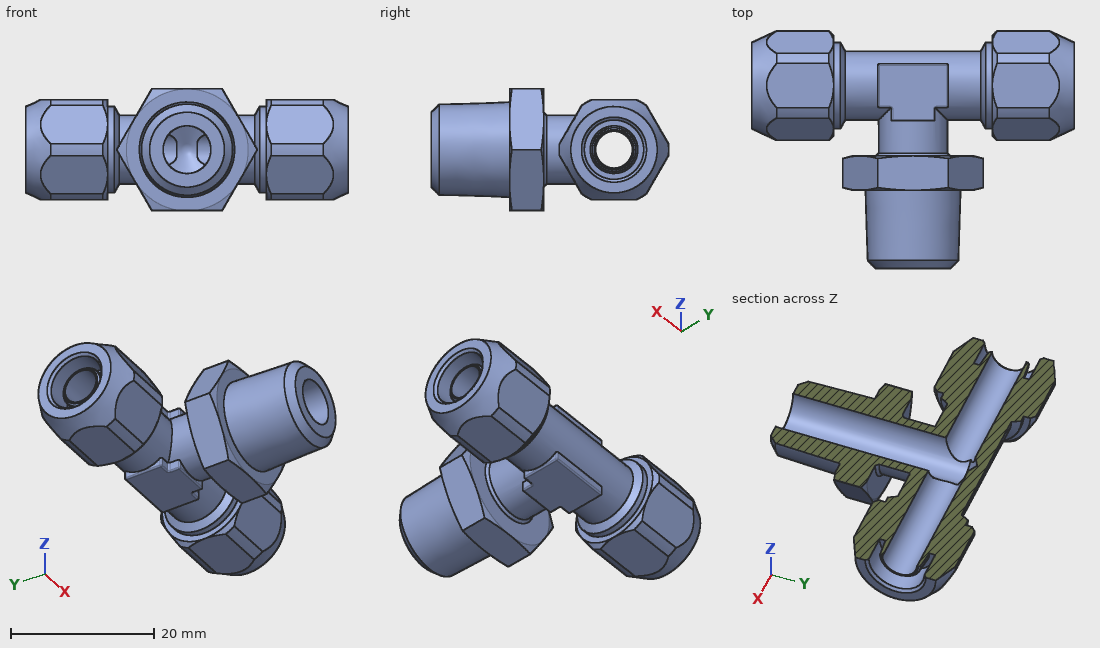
import cadquery as cq
import math

run_end = 22.5
branch_end = 25.5

tube_radius = 4.8
run_bore_radius = 2.55
branch_bore_radius = 3.35
drill_tip_y = 3.38
drill_half_angle = 60.0

pad_half_height = 5.18
pad_reach = 4.9
pad_half_width = 3.05
pad_fillet = 0.22

nut_across_flats = 14.0
nut_corner_radius = 7.65
nut_length = 11.45
nut_nose_radius = 6.05
nut_nose_length = 3.45
mouth_radius = 4.15
mouth_chamfer = 0.4
mouth_depth = 4.5

insert_root_radius = 3.35
insert_shoulder_radius = 3.05
insert_tip_radius = 2.8
insert_tip_depth = 1.58

collar_radius = 6.05
collar_end = 9.45
collar_chamfer_length = 0.68

hex_across_flats = 17.0
hex_start = 9.8
hex_end = 14.6
hex_chamfer_angle = 15.0
shoulder_radius = 5.2
shoulder_length = shoulder_radius - tube_radius

thread_root_radius = 6.65
thread_taper = 1 / 16
thread_chamfer = 1.12


def revolve_about_x(outline):
    """Turn an (x, radius) outline about the X axis."""
    return cq.Workplane("XY").polyline(outline).close().revolve(360, (0, 0), (1, 0))


def revolve_about_branch(outline):
    """Turn a (radius, distance towards -Y) outline about the Y axis."""
    points = [(radius, -distance) for radius, distance in outline]
    return cq.Workplane("XY").polyline(points).close().revolve(360, (0, 0), (0, 1))


def hexagon_corner_diameter(across_flats):
    return across_flats / math.cos(math.radians(30))


def make_pads():
    """T-shaped block whose top and bottom stand out from the tubes as flat pads."""
    outline = [
        (-pad_reach, pad_half_width),
        (pad_reach, pad_half_width),
        (pad_reach, -pad_half_width),
        (pad_half_width, -pad_half_width),
        (pad_half_width, -pad_reach),
        (-pad_half_width, -pad_reach),
        (-pad_half_width, -pad_half_width),
        (-pad_reach, -pad_half_width),
    ]
    block = cq.Workplane("XY").polyline(outline).close().extrude(pad_half_height, both=True)
    return block.edges("|Z").fillet(pad_fillet).faces("|Z").edges().fillet(pad_fillet)


def make_nut():
    """Hexagonal nut and collar on the +X end, with turned corners and a conical nose."""
    nut_inner = run_end - nut_length
    flat_radius = nut_across_flats / 2
    hexagon = (
        cq.Workplane("YZ", origin=(nut_inner, 0, 0))
        .polygon(6, hexagon_corner_diameter(nut_across_flats))
        .extrude(nut_length)
    )
    turned = revolve_about_x([
        (nut_inner, 0),
        (nut_inner, flat_radius),
        (nut_inner + nut_corner_radius - flat_radius, nut_corner_radius),
        (run_end - nut_nose_length, nut_corner_radius),
        (run_end, nut_nose_radius),
        (run_end, 0),
    ])
    collar = revolve_about_x([
        (collar_end, 0),
        (collar_end, tube_radius),
        (collar_end + collar_chamfer_length, collar_radius),
        (nut_inner, collar_radius),
        (nut_inner, 0),
    ])
    return hexagon.intersect(turned).union(collar)


def make_mouth():
    """Void of the nut mouth on the +X end, leaving the tube insert standing at its floor."""
    floor = run_end - mouth_depth
    insert_tip = run_end - insert_tip_depth
    insert_chamfer = insert_shoulder_radius - insert_tip_radius
    return revolve_about_x([
        (run_end, 0),
        (run_end, mouth_radius + mouth_chamfer),
        (run_end - mouth_chamfer, mouth_radius),
        (floor, mouth_radius),
        (floor, insert_root_radius),
        (insert_tip - insert_chamfer, insert_shoulder_radius),
        (insert_tip, insert_tip_radius),
        (insert_tip, 0),
    ])


def make_branch():
    """Branch tube, shoulder, chamfered hexagon and tapered thread."""
    thread_end = branch_end - thread_chamfer
    thread_end_radius = thread_root_radius - (thread_end - hex_end) * thread_taper / 2
    stem = revolve_about_branch([
        (0, 0),
        (tube_radius, 0),
        (tube_radius, hex_start - shoulder_length),
        (shoulder_radius, hex_start),
        (shoulder_radius, hex_end),
        (thread_root_radius, hex_end),
        (thread_end_radius, thread_end),
        (thread_end_radius - thread_chamfer, branch_end),
        (0, branch_end),
    ])

    corner_diameter = hexagon_corner_diameter(hex_across_flats)
    hexagon = (
        cq.Workplane("XZ", origin=(0, -hex_start, 0))
        .polygon(6, corner_diameter)
        .extrude(hex_end - hex_start)
    )
    corner_radius = corner_diameter / 2
    flat_radius = hex_across_flats / 2
    chamfer_length = (corner_radius - flat_radius) * math.tan(math.radians(hex_chamfer_angle))
    turned = revolve_about_branch([
        (0, hex_start),
        (flat_radius, hex_start),
        (corner_radius, hex_start + chamfer_length),
        (corner_radius, hex_end - chamfer_length),
        (flat_radius, hex_end),
        (0, hex_end),
    ])
    return stem.union(hexagon.intersect(turned))


def make_branch_bore():
    """Blind drilled hole along the branch, ending in a drill point beyond the run axis."""
    tip_length = branch_bore_radius / math.tan(math.radians(drill_half_angle))
    return revolve_about_branch([
        (0, -drill_tip_y),
        (branch_bore_radius, tip_length - drill_tip_y),
        (branch_bore_radius, branch_end),
        (0, branch_end),
    ])


run_tube = cq.Workplane("YZ").circle(tube_radius).extrude(run_end - nut_length, both=True)
run_bore = cq.Workplane("YZ").circle(run_bore_radius).extrude(run_end, both=True)
nut = make_nut()
mouth = make_mouth()

body = run_tube.union(make_branch()).union(make_pads())
body = body.union(nut).union(nut.mirror("YZ"))
result = body.cut(run_bore).cut(make_branch_bore()).cut(mouth).cut(mouth.mirror("YZ"))